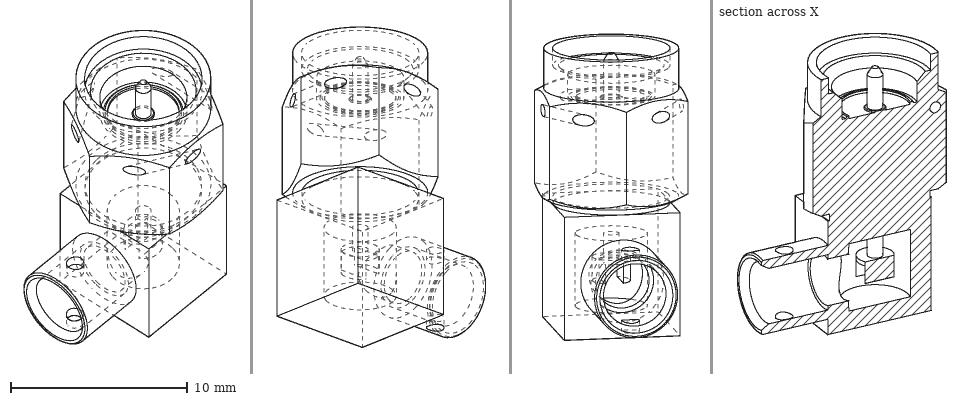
import cadquery as cq
import math

BODY_SIDE = 6.7
BODY_HEIGHT = 7.15
BODY_BORE_DIA = 4.1
BODY_BORE_REACH = 2.1

BARREL_AXIS_Z = 3.3
BARREL_DIA = 4.8
BARREL_END_Y = -7.65
BARREL_BORE_DIA = 3.62
BARREL_MOUTH_DIA = 4.22
BARREL_MOUTH_DEPTH = 0.5
BARREL_EDGE_CHAMFER = 0.1
ENTRY_DIA = 3.1
SOLDER_HOLE_DIA = 1.0
SOLDER_HOLE_Y = -5.87

NECK_DIA = 6.62
NUT_BOTTOM_Z = 7.55
NUT_TOP_Z = 13.82
NUT_ACROSS_FLATS = 8.0
NUT_CORNER_RADIUS = NUT_ACROSS_FLATS / math.sqrt(3)
NUT_CHAMFER_ANGLE = 30.0
WIRE_HOLE_COUNT = 3
WIRE_HOLE_DIA = 0.65
WIRE_HOLE_OFFSET = 3.6
WIRE_HOLE_Z = 12.73

TOP_Z = 16.15
COLLAR_DIA = 7.68
COLLAR_BORE_DIA = 6.67
SLEEVE_DEPTH = 1.0
SLEEVE_MOUTH_DIA = 6.0
SLEEVE_BORE_DIA = 4.95
SLEEVE_MOUTH_DEPTH = SLEEVE_DEPTH + (SLEEVE_MOUTH_DIA - SLEEVE_BORE_DIA) / 2
RIM_OUTER_DIA = 4.56
RIM_TOP_DIA = 4.36
RIM_INNER_DIA = 4.08
RIM_DEPTH = 2.7
GROOVE_DEPTH = RIM_DEPTH + (RIM_OUTER_DIA - RIM_TOP_DIA) / 2
FLOOR_DEPTH = 2.85

PIN_DIA = 0.9
PIN_TIP_DIA = 0.38
PIN_TIP_DEPTH = 0.3
PIN_CONE_LENGTH = 0.45
SHOULDER_DIA = 1.27
SHOULDER_HEIGHT = 0.06
CONTACT_DIA = 2.17
CONTACT_BOTTOM_Z = 2.67
CONTACT_TOP_Z = 4.05
SLOT_WIDTH = 1.05
SLOT_TOP_Z = 3.79


def revolve_about_z(points):
    """Solid of revolution from (radius, Z) points."""
    return cq.Workplane("XZ").polyline(points).close().revolve(360, (0, 0), (0, 1))


def cylinder_z(diameter, bottom_z, top_z):
    return cq.Workplane("XY").workplane(offset=bottom_z).circle(diameter / 2).extrude(top_z - bottom_z)


def cylinder_y(diameter, front_y, back_y):
    """Cylinder on the barrel axis between two Y positions."""
    plane = cq.Workplane("XZ", origin=(0, back_y, BARREL_AXIS_Z))
    return plane.circle(diameter / 2).extrude(back_y - front_y)


def make_body():
    block = cq.Workplane("XY").rect(BODY_SIDE, BODY_SIDE).extrude(BODY_HEIGHT)
    cavity = cylinder_z(BODY_BORE_DIA, BARREL_AXIS_Z - BODY_BORE_REACH, BARREL_AXIS_Z + BODY_BORE_REACH)
    barrel = cylinder_y(BARREL_DIA, BARREL_END_Y, -BODY_SIDE / 2)
    barrel = barrel.faces("<Y").edges().chamfer(BARREL_EDGE_CHAMFER)
    bore = cylinder_y(BARREL_BORE_DIA, BARREL_END_Y, -BODY_SIDE / 2)
    entry = cylinder_y(ENTRY_DIA, -BODY_SIDE / 2, 0)
    mouth = (
        cq.Workplane("XZ", origin=(0, BARREL_END_Y, BARREL_AXIS_Z))
        .circle(BARREL_MOUTH_DIA / 2)
        .workplane(offset=-BARREL_MOUTH_DEPTH)
        .circle(BARREL_BORE_DIA / 2)
        .loft()
    )
    solder_holes = cylinder_z(
        SOLDER_HOLE_DIA, BARREL_AXIS_Z - BARREL_DIA, BARREL_AXIS_Z + BARREL_DIA
    ).translate((0, SOLDER_HOLE_Y, 0))
    return block.union(barrel).cut(bore).cut(mouth).cut(entry).cut(cavity).cut(solder_holes)


def make_nut():
    """Hexagon with corners on the Y axis, chamfered top and bottom, with corner wire holes."""
    height = NUT_TOP_Z - NUT_BOTTOM_Z
    hexagon = (
        cq.Workplane("XY")
        .workplane(offset=NUT_BOTTOM_Z)
        .polygon(6, 2 * NUT_CORNER_RADIUS)
        .extrude(height)
        .rotate((0, 0, 0), (0, 0, 1), 90)
    )
    face_radius = COLLAR_DIA / 2
    drop = (NUT_CORNER_RADIUS - face_radius) * math.tan(math.radians(NUT_CHAMFER_ANGLE))
    envelope = revolve_about_z([
        (0, NUT_BOTTOM_Z),
        (face_radius, NUT_BOTTOM_Z),
        (NUT_CORNER_RADIUS, NUT_BOTTOM_Z + drop),
        (NUT_CORNER_RADIUS, NUT_TOP_Z - drop),
        (face_radius, NUT_TOP_Z),
        (0, NUT_TOP_Z),
    ])
    nut = hexagon.intersect(envelope)
    wire_hole = (
        cq.Workplane("YZ", origin=(0, WIRE_HOLE_OFFSET, WIRE_HOLE_Z))
        .circle(WIRE_HOLE_DIA / 2)
        .extrude(NUT_ACROSS_FLATS, both=True)
    )
    for index in range(WIRE_HOLE_COUNT):
        angle = index * 360 / WIRE_HOLE_COUNT
        nut = nut.cut(wire_hole.rotate((0, 0, 0), (0, 0, 1), angle))
    return nut


def make_socket():
    """Open space inside the collar, down to the rim and the dielectric floor."""
    return revolve_about_z([
        (0, TOP_Z),
        (COLLAR_BORE_DIA / 2, TOP_Z),
        (COLLAR_BORE_DIA / 2, TOP_Z - SLEEVE_DEPTH),
        (SLEEVE_MOUTH_DIA / 2, TOP_Z - SLEEVE_DEPTH),
        (SLEEVE_BORE_DIA / 2, TOP_Z - SLEEVE_MOUTH_DEPTH),
        (SLEEVE_BORE_DIA / 2, TOP_Z - GROOVE_DEPTH),
        (RIM_OUTER_DIA / 2, TOP_Z - GROOVE_DEPTH),
        (RIM_TOP_DIA / 2, TOP_Z - RIM_DEPTH),
        (RIM_INNER_DIA / 2, TOP_Z - RIM_DEPTH),
        (RIM_INNER_DIA / 2, TOP_Z - FLOOR_DEPTH),
        (0, TOP_Z - FLOOR_DEPTH),
    ])


def make_contact():
    """Centre pin with a pointed tip and a low shoulder, ending in a slotted cable contact."""
    tip_z = TOP_Z - PIN_TIP_DEPTH
    floor_z = TOP_Z - FLOOR_DEPTH
    contact = revolve_about_z([
        (0, CONTACT_BOTTOM_Z),
        (CONTACT_DIA / 2, CONTACT_BOTTOM_Z),
        (CONTACT_DIA / 2, CONTACT_TOP_Z),
        (PIN_DIA / 2, CONTACT_TOP_Z),
        (PIN_DIA / 2, floor_z),
        (SHOULDER_DIA / 2, floor_z),
        (SHOULDER_DIA / 2 - SHOULDER_HEIGHT, floor_z + SHOULDER_HEIGHT),
        (PIN_DIA / 2, floor_z + SHOULDER_HEIGHT),
        (PIN_DIA / 2, tip_z - PIN_CONE_LENGTH),
        (PIN_TIP_DIA / 2, tip_z),
        (0, tip_z),
    ])
    slot_height = SLOT_TOP_Z - CONTACT_BOTTOM_Z
    slot = (
        cq.Workplane("XY")
        .workplane(offset=CONTACT_BOTTOM_Z)
        .rect(SLOT_WIDTH, 2 * CONTACT_DIA)
        .extrude(slot_height)
    )
    return contact.cut(slot)


neck = cylinder_z(NECK_DIA, BODY_HEIGHT, NUT_BOTTOM_Z)
collar = cylinder_z(COLLAR_DIA, NUT_TOP_Z, TOP_Z)
shell = make_body().union(neck).union(make_nut()).union(collar)
result = shell.cut(make_socket()).union(make_contact())